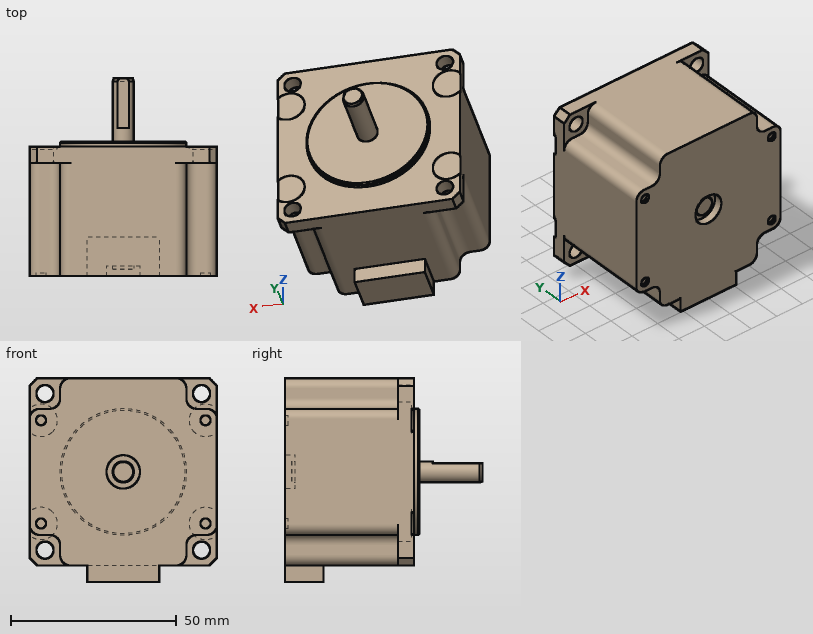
import cadquery as cq


frame_width = 56.4
half_width = frame_width / 2
body_length = 39.0
flange_thickness = 4.9
flange_chamfer = 2.3
overall_length = 59.6

relief_size = 9.2
relief_radius = 3.1

mounting_spacing = 47.15
mounting_diameter = 5.1

screw_spacing_x = 49.55
screw_spacing_z = 31.05
screw_diameter = 3.0
screw_depth = 1.0
spot_face_diameter = 9.8
spot_face_depth = 0.8
spot_face_fillet = 0.5

pilot_diameter = 38.1
pilot_height = 1.6
pilot_chamfer = 0.5

shaft_diameter = 6.4
shaft_tip_length = 1.0
shaft_tip_step = 0.3
shaft_flat_length = 15.05
shaft_flat_depth = 0.55

bore_diameter = 10.1
bore_depth = 3.0
shaft_end_depth = 1.95
shaft_end_chamfer = 0.2

connector_width = 21.75
connector_height = 5.0
connector_length = 11.7


def plane_at(y):
    """Workplane across the motor axis at the given Y, extruding toward +Y with local axes -X and Z."""
    return cq.Workplane(cq.Plane(origin=(0, y, 0), xDir=(-1, 0, 0), normal=(0, 1, 0)))


def make_frame():
    frame = plane_at(0).rect(frame_width, frame_width).extrude(body_length)
    return frame.edges("|Y").chamfer(flange_chamfer)


def make_corner_reliefs():
    """Square corner cuts: rounded inside, with their outer edges rounded over onto the frame sides."""
    wall = half_width - relief_size
    relief_length = body_length - flange_thickness
    core = (
        plane_at(0)
        .rect(2 * wall, frame_width)
        .extrude(relief_length)
        .union(plane_at(0).rect(frame_width, 2 * wall).extrude(relief_length))
        .edges("|Y")
        .fillet(relief_radius)
    )
    return plane_at(0).rect(frame_width, frame_width).extrude(relief_length).cut(core)


def make_mounting_holes():
    return (
        plane_at(0)
        .rect(mounting_spacing, mounting_spacing, forConstruction=True)
        .vertices()
        .circle(mounting_diameter / 2)
        .extrude(body_length)
    )


def make_screw_holes():
    return (
        plane_at(0)
        .rect(screw_spacing_x, screw_spacing_z, forConstruction=True)
        .vertices()
        .circle(screw_diameter / 2)
        .extrude(screw_depth)
    )


def make_spot_faces():
    """Shallow round recesses with a rounded floor edge; they break out through the frame sides."""
    return (
        plane_at(body_length - spot_face_depth)
        .rect(screw_spacing_x, screw_spacing_z, forConstruction=True)
        .vertices()
        .circle(spot_face_diameter / 2)
        .extrude(spot_face_depth)
        .faces("<Y")
        .edges()
        .fillet(spot_face_fillet)
    )


def make_connector():
    """Block half sunk into the frame, so that connector_height stands out below it."""
    return (
        plane_at(0)
        .center(0, -half_width)
        .rect(connector_width, 2 * connector_height)
        .extrude(connector_length)
    )


def make_pilot():
    pilot = plane_at(body_length).circle(pilot_diameter / 2).extrude(pilot_height)
    return pilot.faces(">Y").chamfer(pilot_chamfer)


def make_rear_bore():
    return plane_at(0).circle(bore_diameter / 2).extrude(bore_depth)


def make_shaft():
    """Round bar with a tapered tip, a small chamfer at the rear and a flat on its +Z side."""
    radius = shaft_diameter / 2
    bar = (
        cq.Workplane("YZ")
        .moveTo(shaft_end_depth, 0)
        .lineTo(shaft_end_depth, radius - shaft_end_chamfer)
        .lineTo(shaft_end_depth + shaft_end_chamfer, radius)
        .lineTo(overall_length - shaft_tip_length, radius)
        .lineTo(overall_length, radius - shaft_tip_step)
        .lineTo(overall_length, 0)
        .close()
        .revolve(360, (0, 0, 0), (1, 0, 0))
    )
    flat_cut = (
        plane_at(overall_length - shaft_flat_length)
        .center(0, radius)
        .rect(shaft_diameter, 2 * shaft_flat_depth)
        .extrude(shaft_flat_length)
    )
    return bar.cut(flat_cut)


result = (
    make_frame()
    .cut(make_corner_reliefs())
    .cut(make_mounting_holes())
    .cut(make_screw_holes())
    .cut(make_spot_faces())
    .cut(make_rear_bore())
    .union(make_connector())
    .union(make_pilot())
    .union(make_shaft())
)